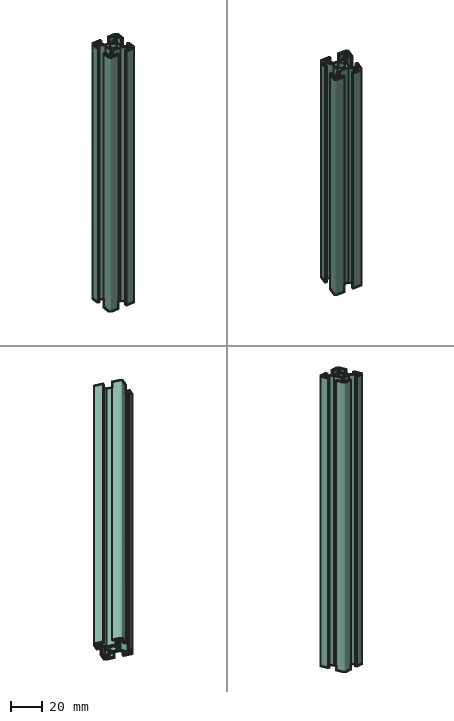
import cadquery as cq
import math

side = 20.0
length = 200.0

slot_opening = 6.4
lip_thickness = 1.4
web_thickness = 1.4
core_side = 8.0
bore_diameter = 5.0
corner_radius = 1.45


def square_bar(width):
    """Square bar of full length, centred on the Z axis."""
    return cq.Workplane("XY").rect(width, width).extrude(length)


def outer_shell():
    """Rounded square tube from which a slot opening is cut in each side."""
    shell = square_bar(side).edges("|Z").fillet(corner_radius)
    shell = shell.cut(square_bar(side - 2 * lip_thickness))
    for size in ((slot_opening, side), (side, slot_opening)):
        shell = shell.cut(cq.Workplane("XY").rect(*size).extrude(length))
    return shell


def diagonal_web(angle):
    """Full-length web through the centre, joining two opposite corners."""
    span = math.sqrt(2) * (side - lip_thickness)
    web = cq.Workplane("XY").rect(span, web_thickness).extrude(length)
    return web.rotate((0, 0, 0), (0, 0, 1), angle)


def bore():
    """Round through hole along the centre line."""
    return cq.Workplane("XY").circle(bore_diameter / 2).extrude(length)


profile = outer_shell().union(square_bar(core_side))
for web_angle in (45, 135):
    profile = profile.union(diagonal_web(web_angle))

result = profile.cut(bore())